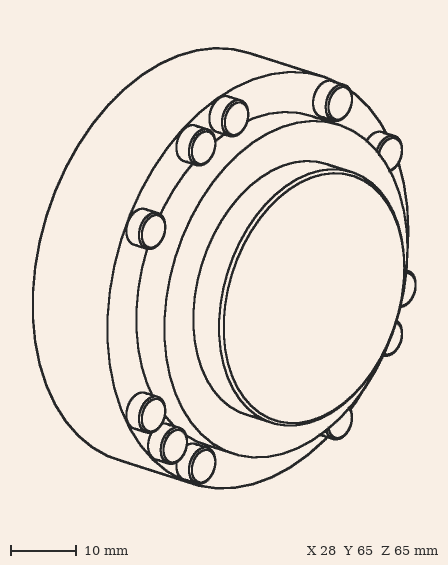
import cadquery as cq
import math

flange_diameter = 65.0
flange_length = 16.0
shoulder_diameter = 52.5
shoulder_length = 6.0
boss_diameter = 40.0
boss_length = 6.0
boss_chamfer = 0.5

bolt_circle_radius = 29.5
head_diameter = 5.68
head_height = 3.0
head_chamfer = 0.3
pair_count = 4
pair_half_spread = 15.0
pair_first_axis = 45.0
single_count = 3
single_first_angle = 105.0

hole_angle = 165.0
hole_diameter = 2.5
hole_depth = 6.0
hole_mouth_diameter = 3.1
hole_chamfer = (hole_mouth_diameter - hole_diameter) / 2


def disc(start_x, diameter, length):
    """Cylinder along +X, centred on the X axis."""
    return cq.Workplane("YZ", origin=(start_x, 0, 0)).circle(diameter / 2).extrude(length)


def on_bolt_circle(shape, angle):
    """Move a shape from the X axis to the bolt circle; angle runs from +Y toward +Z."""
    y = bolt_circle_radius * math.cos(math.radians(angle))
    z = bolt_circle_radius * math.sin(math.radians(angle))
    return shape.translate((0, y, z))


def turned_body():
    shoulder_end = flange_length + shoulder_length
    flange = disc(0, flange_diameter, flange_length)
    shoulder = disc(flange_length, shoulder_diameter, shoulder_length)
    boss = disc(shoulder_end, boss_diameter, boss_length).faces(">X").chamfer(boss_chamfer)
    return flange.union(shoulder).union(boss)


def screw_angles():
    """Four pairs at quarter turns, plus three single screws at thirds of a turn."""
    angles = []
    for index in range(pair_count):
        axis = pair_first_axis + index * 360 / pair_count
        angles += [axis - pair_half_spread, axis + pair_half_spread]
    for index in range(single_count):
        angles.append(single_first_angle + index * 360 / single_count)
    return angles


def screw_head():
    return disc(flange_length, head_diameter, head_height).faces(">X").chamfer(head_chamfer)


def chamfered_hole():
    """Cutting tool for the blind hole with its countersunk mouth."""
    bore = disc(0, hole_diameter, hole_depth)
    mouth = cq.Workplane(
        cq.Solid.makeCone(
            hole_mouth_diameter / 2,
            hole_diameter / 2,
            hole_chamfer,
            dir=cq.Vector(1, 0, 0),
        )
    )
    return bore.union(mouth)


result = turned_body()
for screw_angle in screw_angles():
    result = result.union(on_bolt_circle(screw_head(), screw_angle))
result = result.cut(on_bolt_circle(chamfered_hole(), hole_angle))